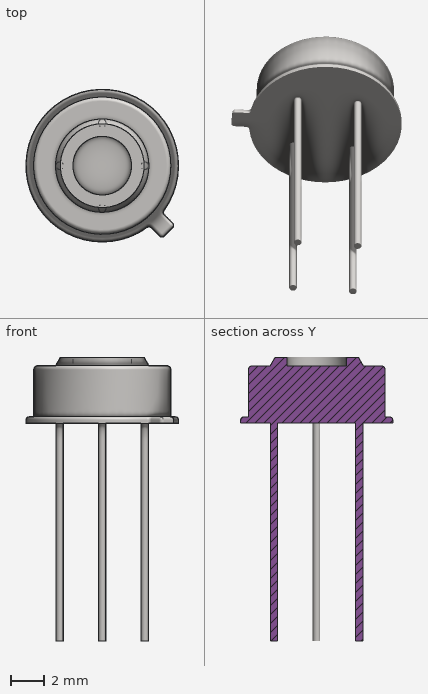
import cadquery as cq

flange_diameter = 9.12
flange_height = 0.4
flange_edge_radius = 0.2

tab_angle = -45
tab_width = 1.1
tab_reach = 5.6
tab_root_radius = 0.2
tab_tip_radius = flange_edge_radius

cap_diameter = 8.2
cap_top = 3.45
cap_edge_radius = 0.25

collar_base_diameter = 5.58
collar_height = 0.5
collar_taper = 30
window_diameter = 3.5

lead_count = 4
lead_diameter = 0.45
lead_length = 13.0
lead_circle_diameter = 5.08


def make_flange():
    disc = cq.Workplane("XY").circle(flange_diameter / 2).extrude(flange_height)
    tab = (
        cq.Workplane("XY")
        .rect(tab_reach, tab_width)
        .extrude(flange_height)
        .translate((tab_reach / 2, 0, 0))
    )
    flange = disc.union(tab)

    tip_start = tab_reach - tab_tip_radius
    tip_zone = cq.selectors.BoxSelector(
        (tip_start, -tab_width, 0), (tab_reach + tab_tip_radius, tab_width, flange_height)
    )
    root_zone = cq.selectors.BoxSelector(
        (0, -tab_width, 0), (tip_start, tab_width, flange_height)
    )
    flange = flange.edges("|Z").edges(root_zone).fillet(tab_root_radius)
    flange = flange.edges("|Z").edges(tip_zone).fillet(tab_tip_radius)
    flange = flange.faces(">Z").edges().fillet(flange_edge_radius)
    return flange.rotate((0, 0, 0), (0, 0, 1), tab_angle)


def make_cap():
    cap = cq.Workplane("XY").circle(cap_diameter / 2).extrude(cap_top)
    return cap.faces(">Z").edges().fillet(cap_edge_radius)


def make_collar():
    collar = (
        cq.Workplane("XY", origin=(0, 0, cap_top))
        .circle(collar_base_diameter / 2)
        .extrude(collar_height, taper=collar_taper)
    )
    window = (
        cq.Workplane("XY", origin=(0, 0, cap_top))
        .circle(window_diameter / 2)
        .extrude(collar_height)
    )
    return collar.cut(window)


def make_leads():
    return (
        cq.Workplane("XY")
        .polarArray(lead_circle_diameter / 2, 0, 360, lead_count)
        .circle(lead_diameter / 2)
        .extrude(-lead_length)
    )


result = make_flange().union(make_cap()).union(make_collar()).union(make_leads())